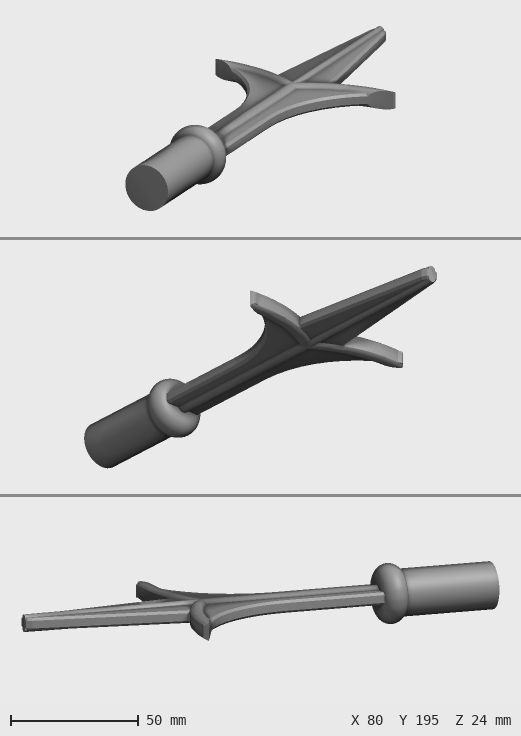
import cadquery as cq
import math

LENGTH = 195.0
HALF_SPAN = 40.0

SPIGOT_DIAMETER = 19.0
COLLAR_DIAMETER = 24.0
COLLAR_ROUND = 5.3
COLLAR_Y = 42.5

PLATE_HALF = 2.5
CROWN_HALF = 3.9
TIP_CROWN_HALF = 3.5
EDGE_CHAMFER = 1.0

SHANK_HALF = 8.4
FLARE_START_Y = 88.1
FLARE_RADIUS = 46.8
FLARE_END_X = HALF_SPAN - 0.8

BARB_RADIUS = 59.7
BARB_CENTER = (33.2, 71.4)
BARB_WIDTH = 5.5
BARB_POINT = (HALF_SPAN, 132.6)
BARB_END = (38.5, 134.2)
BARB_END_LENGTH = 2.0

BLADE_BASE_HALF = 12.0
BLADE_TIP_HALF = 2.5
BLADE_SHOULDER_HALF = 3.5
BLADE_SHOULDER_Y = LENGTH - 2.3

SHANK_RIB_COLLAR = 2.5
SHANK_RIB_TOP = 3.0
BLADE_RIB_BASE = 2.0
BLADE_RIB_TIP = 1.5

RIB_MEET_Y = BARB_CENTER[1] + math.sqrt(BARB_RADIUS**2 - BARB_CENTER[0]**2)


def upper_circle_y(center, radius, x):
    """Y of the upper half of a circle at x."""
    return center[1] + math.sqrt(radius**2 - (x - center[0])**2)


def flare_point(x):
    center = (SHANK_HALF + FLARE_RADIUS, FLARE_START_Y)
    return x, upper_circle_y(center, FLARE_RADIUS, x)


def barb_top_point(x):
    return x, upper_circle_y(BARB_CENTER, BARB_RADIUS + BARB_WIDTH / 2, x)


def both_sides(half):
    """The right-hand shape joined to its mirror image across the YZ plane."""
    return half.union(half.mirror("YZ"))


def silhouette(half_thickness):
    """Outline of shank, barbs and blade, extruded about the mid plane."""
    flare_mid_x = (SHANK_HALF + FLARE_END_X) / 2
    barb_start_x = BARB_END[0] - BARB_END_LENGTH
    barb_mid_x = (barb_start_x + BLADE_BASE_HALF) / 2
    half = (
        cq.Workplane("XY")
        .moveTo(0, COLLAR_Y)
        .lineTo(SHANK_HALF, COLLAR_Y)
        .lineTo(SHANK_HALF, FLARE_START_Y)
        .threePointArc(flare_point(flare_mid_x), flare_point(FLARE_END_X))
        .lineTo(*BARB_POINT)
        .lineTo(*BARB_END)
        .lineTo(*barb_top_point(barb_start_x))
        .threePointArc(barb_top_point(barb_mid_x), barb_top_point(BLADE_BASE_HALF))
        .lineTo(BLADE_SHOULDER_HALF, BLADE_SHOULDER_Y)
        .lineTo(BLADE_TIP_HALF, LENGTH)
        .lineTo(0, LENGTH)
        .close()
        .extrude(half_thickness, both=True)
    )
    return both_sides(half)


def chamfered_plate():
    """Flat plate with every long edge chamfered; the blunt barb ends stay sharp."""
    barb_end_x = BARB_END[0] - BARB_END_LENGTH
    long_edges = cq.selectors.BoxSelector(
        (-barb_end_x, 0, -CROWN_HALF), (barb_end_x, 2 * LENGTH, CROWN_HALF)
    )
    plate = silhouette(PLATE_HALF)
    return plate.faces("|Z").edges(long_edges).chamfer(EDGE_CHAMFER)


def crowned_section(plane, half_width, crown, side=PLATE_HALF):
    """Rib section: flat sides of height `side` with an arched crest on both faces."""
    return (
        plane.moveTo(-half_width, -side)
        .lineTo(-half_width, side)
        .threePointArc((0, crown), (half_width, side))
        .lineTo(half_width, -side)
        .threePointArc((0, -crown), (-half_width, -side))
        .close()
    )


def straight_rib(start_y, start_half, start_crown, end_y, end_half, end_crown):
    start = cq.Workplane("XZ", origin=(0, start_y, 0))
    section = crowned_section(start, start_half, start_crown)
    end = section.workplane(offset=start_y - end_y)
    return crowned_section(end, end_half, end_crown).loft(ruled=True)


def barb_ribs(bounds):
    """Curved ribs, trimmed to the outline and mitred on the centre line."""
    center_x, center_y = BARB_CENTER
    plane = cq.Workplane("XZ", origin=(center_x + BARB_RADIUS, center_y, 0))
    side = PLATE_HALF - EDGE_CHAMFER
    rise = CROWN_HALF - PLATE_HALF
    crest_radius = ((BARB_WIDTH / 2) ** 2 + rise**2) / (2 * rise)
    half_width = math.sqrt(crest_radius**2 - (side + crest_radius - CROWN_HALF) ** 2)
    ring = crowned_section(plane, half_width, CROWN_HALF, side).revolve(
        360, (-BARB_RADIUS, 0, 0), (-BARB_RADIUS, 1, 0)
    )
    quadrant = cq.Workplane("XY").box(
        LENGTH, LENGTH, LENGTH, centered=(False, False, True)
    ).translate((0, FLARE_START_Y, 0))
    return both_sides(ring.intersect(quadrant).intersect(bounds))


def spigot_and_collar():
    spigot = cq.Workplane("XZ").circle(SPIGOT_DIAMETER / 2).extrude(-COLLAR_Y)
    core_radius = COLLAR_DIAMETER / 2 - COLLAR_ROUND
    collar = (
        cq.Workplane("XY")
        .moveTo(0, COLLAR_Y - COLLAR_ROUND)
        .lineTo(core_radius, COLLAR_Y - COLLAR_ROUND)
        .threePointArc(
            (COLLAR_DIAMETER / 2, COLLAR_Y), (core_radius, COLLAR_Y + COLLAR_ROUND)
        )
        .lineTo(0, COLLAR_Y + COLLAR_ROUND)
        .close()
        .revolve(360, (0, 0, 0), (0, 1, 0))
    )
    return spigot.union(collar)


plate = chamfered_plate()
shank_rib = straight_rib(
    COLLAR_Y, SHANK_RIB_COLLAR, CROWN_HALF, RIB_MEET_Y, SHANK_RIB_TOP, CROWN_HALF
)
blade_rib = straight_rib(
    RIB_MEET_Y, BLADE_RIB_BASE, CROWN_HALF, LENGTH, BLADE_RIB_TIP, TIP_CROWN_HALF
)

result = (
    plate.union(shank_rib)
    .union(blade_rib)
    .union(barb_ribs(silhouette(CROWN_HALF)))
    .union(spigot_and_collar())
)